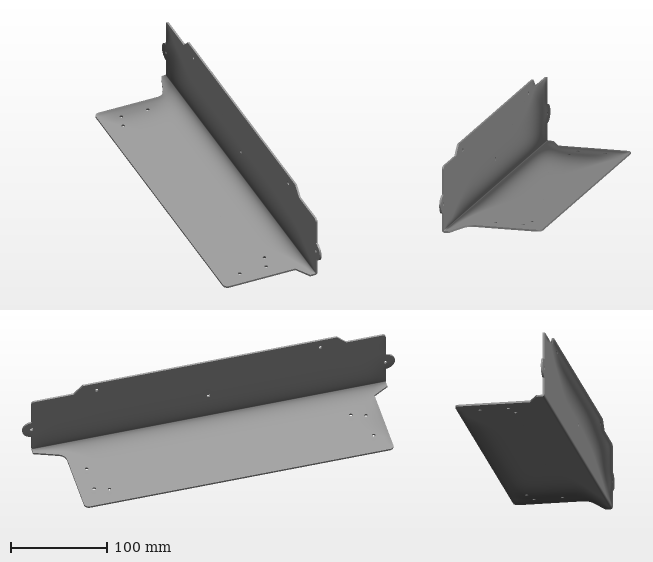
import cadquery as cq

length = 400.0
depth = 98.0
height = 81.0
thickness = 2.0
bend_inner_radius = 1.0
bend_outer_radius = bend_inner_radius + thickness
hole_diameter = 3.5

ear_radius = 10.0
ear_z = 31.0
wall_half = length / 2 - ear_radius
tab_rise = 10.0
shoulder_z = height - tab_rise
tab_left = -135.0
tab_right = 137.5
tab_slope_run = tab_rise
wall_corner_radius = 3.2
upper_hole_x = 120.0

shelf_left = -158.5
shelf_right = 173.5
left_slope_start_y = -7.2
left_slope_end_y = -19.2
right_slope_start_y = -8.5
right_slope_end_y = -18.0
left_neck_radius = 10.0
front_corner_radius = 5.2

hole_left = -142.5
hole_right = hole_left + 300.0
hole_rear_y = -44.0
hole_front_y = hole_rear_y - 30.0
offset_hole_dx = 15.2
offset_hole_dy = 5.0


def make_bent_sheet():
    """L-shaped sheet with a rounded bend, as long as the wall between the ears."""
    sheet = (
        cq.Workplane("YZ")
        .polyline([
            (0, 0),
            (0, height),
            (-thickness, height),
            (-thickness, thickness),
            (-depth, thickness),
            (-depth, 0),
        ])
        .close()
        .extrude(wall_half, both=True)
    )
    sheet = sheet.edges(cq.selectors.NearestToPointSelector((0, 0, 0))).fillet(bend_outer_radius)
    inner_corner = cq.selectors.NearestToPointSelector((0, -thickness, thickness))
    return sheet.edges(inner_corner).fillet(bend_inner_radius)


def make_wall_outline():
    """Block with the stepped wall outline, running through the full depth."""
    outline = (
        cq.Workplane("XZ")
        .polyline([
            (-wall_half, 0),
            (-wall_half, shoulder_z),
            (tab_left - tab_slope_run, shoulder_z),
            (tab_left, height),
            (tab_right, height),
            (tab_right + tab_slope_run, shoulder_z),
            (wall_half, shoulder_z),
            (wall_half, 0),
        ])
        .close()
        .extrude(depth)
    )
    for side in (-1, 1):
        corner = cq.selectors.NearestToPointSelector((side * wall_half, -depth / 2, shoulder_z))
        outline = outline.edges(corner).fillet(wall_corner_radius)
    return outline


def make_shelf_outline():
    """Block with the tapered shelf outline, running through the full height."""
    outline = (
        cq.Workplane("XY")
        .polyline([
            (-wall_half, 0),
            (-wall_half, left_slope_start_y),
            (shelf_left, left_slope_end_y),
            (shelf_left, -depth),
            (shelf_right, -depth),
            (shelf_right, right_slope_end_y),
            (wall_half, right_slope_start_y),
            (wall_half, 0),
        ])
        .close()
        .extrude(height)
    )
    rounded_corners = [
        (shelf_left, left_slope_end_y, left_neck_radius),
        (shelf_left, -depth, front_corner_radius),
        (shelf_right, -depth, front_corner_radius),
    ]
    for x, y, radius in rounded_corners:
        corner = cq.selectors.NearestToPointSelector((x, y, height / 2))
        outline = outline.edges(corner).fillet(radius)
    return outline


def make_ears():
    """Round mounting ears centred on the end edges of the wall."""
    return (
        cq.Workplane("XZ")
        .pushPoints([(-wall_half, ear_z), (wall_half, ear_z)])
        .circle(ear_radius)
        .extrude(thickness)
    )


def make_wall_holes():
    centres = [
        (-wall_half, ear_z),
        (0, ear_z),
        (wall_half, ear_z),
        (-upper_hole_x, shoulder_z),
        (upper_hole_x, shoulder_z),
    ]
    return cq.Workplane("XZ").pushPoints(centres).circle(hole_diameter / 2).extrude(thickness)


def make_shelf_holes():
    centres = [(x, y) for x in (hole_left, hole_right) for y in (hole_rear_y, hole_front_y)]
    centres.append((hole_left + offset_hole_dx, hole_front_y - offset_hole_dy))
    centres.append((hole_right - offset_hole_dx, hole_rear_y + offset_hole_dy))
    return cq.Workplane("XY").pushPoints(centres).circle(hole_diameter / 2).extrude(thickness)


bracket = make_bent_sheet().intersect(make_wall_outline()).intersect(make_shelf_outline())
bracket = bracket.union(make_ears())
result = bracket.cut(make_wall_holes()).cut(make_shelf_holes())